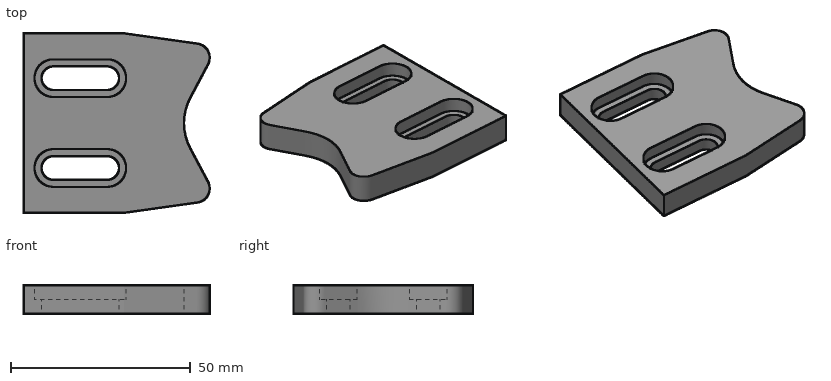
import cadquery as cq
import math

length = 51.78
width = 50.0
thickness = 8.0

taper_start = 28.0
taper_angle = math.radians(8.0)
tip_radius = 4.0

notch_radius = 15.0
flank_angle = math.radians(28.0)

slot_spacing = 25.0
slot_center_x = 15.75
slot_straight = 15.0
slot_width = 6.5
counterbore_width = 10.5
counterbore_depth = 4.0


def point_on_circle(center, radius, angle):
    return (center[0] + radius * math.cos(angle), center[1] + radius * math.sin(angle))


def mirrored(point):
    return (point[0], -point[1])


def make_plate():
    tip_center_x = length - tip_radius
    taper_tangent_x = tip_center_x + tip_radius * math.sin(taper_angle)
    taper_tangent_y = width / 2 - (taper_tangent_x - taper_start) * math.tan(taper_angle)
    tip_center = (tip_center_x, taper_tangent_y - tip_radius * math.cos(taper_angle))

    notch_center_x = (
        tip_center[0]
        - tip_center[1] * math.tan(flank_angle)
        + (tip_radius + notch_radius) / math.cos(flank_angle)
    )
    notch_center = (notch_center_x, 0.0)

    side_corner = (taper_start, width / 2)
    back_corner = (0.0, width / 2)
    taper_end = (taper_tangent_x, taper_tangent_y)
    tip_apex = point_on_circle(tip_center, tip_radius, 0.0)
    flank_start = point_on_circle(tip_center, tip_radius, -flank_angle)
    flank_end = point_on_circle(notch_center, notch_radius, math.pi - flank_angle)
    notch_bottom = point_on_circle(notch_center, notch_radius, math.pi)

    return (
        cq.Workplane("XY")
        .moveTo(*back_corner)
        .lineTo(*side_corner)
        .lineTo(*taper_end)
        .threePointArc(tip_apex, flank_start)
        .lineTo(*flank_end)
        .threePointArc(notch_bottom, mirrored(flank_end))
        .lineTo(*mirrored(flank_start))
        .threePointArc(mirrored(tip_apex), mirrored(taper_end))
        .lineTo(*mirrored(side_corner))
        .lineTo(*mirrored(back_corner))
        .close()
        .extrude(thickness)
    )


def cut_slots(body, slot_size, depth):
    """Cut both slots of the given width down from the top face."""
    cutters = (
        cq.Workplane("XY", origin=(slot_center_x, 0, thickness))
        .pushPoints([(0, -slot_spacing / 2), (0, slot_spacing / 2)])
        .slot2D(slot_straight + slot_size, slot_size)
        .extrude(-depth)
    )
    return body.cut(cutters)


plate = make_plate()
plate = cut_slots(plate, counterbore_width, counterbore_depth)
result = cut_slots(plate, slot_width, thickness)